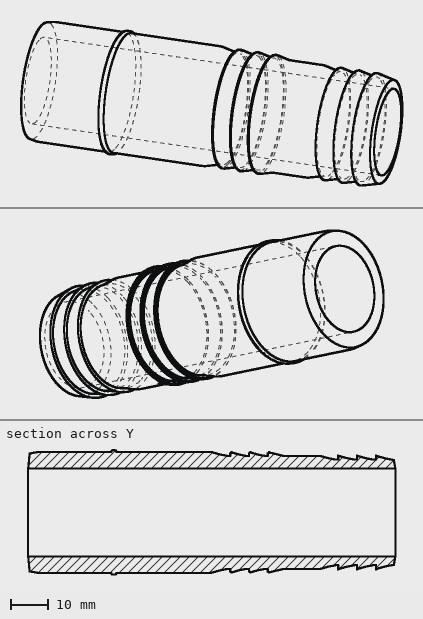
import cadquery as cq

length = 97.0
body_radius = 16.0
neck_radius = 15.0
bore_radius = 11.5

lead_length = 2.5
lead_drop = 0.4

face_cone_height = 0.4

bead_position = 22.7
bead_radius = 16.5
bead_width = 1.5
bead_edge_radius = 0.5

barb_pitch = 4.9
barb_slope = 0.24
barb_count = 3
body_barbs_start = 48.4
neck_barbs_start = 76.9
cone_length = 4.4
crest_chamfer = 0.4

body_barbs_end = body_barbs_start + barb_count * barb_pitch
neck_start = body_barbs_end + (body_radius - neck_radius) / barb_slope


def barb_points(start, crest_radius, chamfer):
    """Repeated cones, each followed by a short root cylinder and an upright wall to the next crest.

    A nonzero chamfer breaks the leading corner of each crest.
    """
    points = [(start, crest_radius)]
    root_radius = crest_radius - barb_slope * cone_length
    for i in range(barb_count):
        cone_start = start + i * barb_pitch
        wall = cone_start + barb_pitch
        points.append((cone_start + cone_length, root_radius))
        points.append((wall, root_radius))
        points.append((wall, crest_radius - chamfer))
        if chamfer:
            points.append((wall + chamfer, crest_radius - barb_slope * chamfer))
    return points


tip_length = length - face_cone_height - neck_barbs_start - barb_count * barb_pitch
tip_radius = neck_radius - barb_slope * tip_length

outer_profile = (
    [(0, 0), (0, bore_radius), (face_cone_height, body_radius - lead_drop), (lead_length, body_radius)]
    + barb_points(body_barbs_start, body_radius, crest_chamfer)
    + [(neck_start, neck_radius)]
    + barb_points(neck_barbs_start, neck_radius, 0)
    + [(length - face_cone_height, tip_radius), (length, bore_radius), (length, 0)]
)
body = cq.Workplane("XY").polyline(outer_profile).close().revolve(360, (0, 0, 0), (1, 0, 0))

bead = (
    cq.Workplane("YZ")
    .workplane(offset=bead_position - bead_width / 2)
    .circle(bead_radius)
    .extrude(bead_width)
    .edges()
    .fillet(bead_edge_radius)
)

bore = cq.Workplane("YZ").circle(bore_radius).extrude(length)

result = body.union(bead).cut(bore)